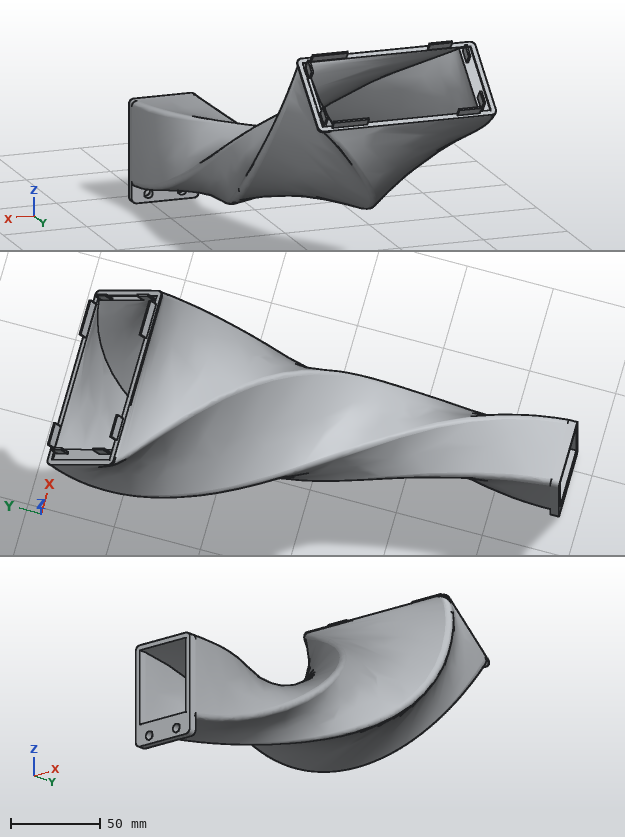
import cadquery as cq
import math


wall = 3.0
corner_radius = 3.0
bore_inset = 4.5

inlet_width = 40.0
inlet_height = 50.0
flange_height = 60.0
flange_thickness = 5.0
hole_diameter = 5.0
hole_spacing = 20.0
hole_edge_distance = 5.0

mouth_width = 106.0
mouth_depth = 50.0
mouth_pitch = 50.0
mouth_center = cq.Vector(-47.2, 256.5, 95.5)
rim_height = 1.0

opening_left_margin = 9.7
opening_right_margin = 5.5

clip_reach = 5.0
clip_thickness = 1.0
clip_outer_gap = 1.7
long_clip_width = 20.8
short_clip_width = 13.3
side_clip_width = 8.0
side_clip_inset = 5.0
left_clip_ledge = 1.7
long_clip_x = 34.5
rear_short_clip_x = -36.5
front_short_clip_x = -31.5

top_right = [(9.2, 102.0, 32.2), (-61.7, 127.0, 40.3), (-91.6, 187.7, 32.0), (-110.5, 227.0, 51.0)]
top_left = [(-26.7, 89.5, 21.0), (-61.7, 120.8, 3.3), (-62.5, 192.5, -29.5), (-50.0, 273.5, 29.7)]
bottom_left = [(-23.3, 83.3, -20.3), (28.3, 158.9, -7.2), (35.3, 220.8, 21.7), (17.8, 242.2, 99.5)]
bottom_right = [(20.8, 107.0, -11.7), (29.2, 142.0, 52.2), (-0.8, 184.5, 70.3), (-99.1, 228.5, 109.7)]

CORNER_SIGNS = [(1, 1), (-1, 1), (-1, -1), (1, -1)]

pitch = math.radians(mouth_pitch)
mouth_normal = cq.Vector(0, math.cos(pitch), math.sin(pitch))
rim_base_plane = cq.Plane(
    origin=mouth_center - mouth_normal * rim_height, xDir=(1, 0, 0), normal=mouth_normal
)


def inlet_corners(width, height):
    return [
        cq.Vector(sx * width / 2, flange_thickness, sz * height / 2) for sx, sz in CORNER_SIGNS
    ]


def mouth_corners(width, depth, x_shift=0.0):
    return [
        rim_base_plane.toWorldCoords((x_shift - sx * width / 2, sy * depth / 2))
        for sx, sy in CORNER_SIGNS
    ]


def inset(ring):
    """Move the four corners inwards by the bore inset along both sides that meet there."""
    moved = []
    for i, corner in enumerate(ring):
        to_next = (ring[(i + 1) % 4] - corner).normalized()
        to_last = (ring[i - 1] - corner).normalized()
        moved.append(corner + (to_next + to_last) * bore_inset)
    return moved


def twisted_solid(rings):
    """Solid with four ruled sides between Bezier corner edges, closed by flat ends."""
    edges = [cq.Edge.makeBezier(list(points)) for points in zip(*rings)]
    sides = [cq.Face.makeRuledSurface(edges[i], edges[(i + 1) % 4]) for i in range(4)]
    ends = [
        cq.Face.makeFromWires(cq.Wire.makePolygon(ring, close=True))
        for ring in (rings[0], rings[-1])
    ]
    return cq.Solid.makeSolid(cq.Shell.makeShell(sides + ends))


middle_rings = [
    [cq.Vector(*point) for point in ring]
    for ring in zip(top_right, top_left, bottom_left, bottom_right)
]
outer_rings = (
    [inlet_corners(inlet_width, inlet_height)]
    + middle_rings
    + [mouth_corners(mouth_width, mouth_depth)]
)
opening_width = mouth_width - opening_left_margin - opening_right_margin
opening_shift = (opening_left_margin - opening_right_margin) / 2
inner_rings = (
    [inlet_corners(inlet_width - 2 * wall, inlet_height - 2 * wall)]
    + [inset(ring) for ring in middle_rings]
    + [mouth_corners(opening_width, mouth_depth - 2 * wall, opening_shift)]
)
bore = cq.Workplane(twisted_solid(inner_rings))


def outer_duct():
    """Outer body with its four long corner edges, by far its longest edges, rounded."""
    sharp = twisted_solid(outer_rings)
    corner_edges = [edge for edge in sharp.Edges() if edge.Length() > 2 * mouth_width]
    return cq.Workplane(sharp.fillet(corner_radius, corner_edges))


def flange():
    """Plate flush with the top of the duct, with two bolt holes below the opening."""
    middle = (inlet_height - flange_height) / 2
    hole_height = inlet_height / 2 - flange_height + hole_edge_distance
    plate = (
        cq.Workplane("XZ")
        .center(0, middle)
        .rect(inlet_width, flange_height)
        .extrude(-flange_thickness)
        .edges("|Y")
        .fillet(corner_radius)
    )
    opening = (
        cq.Workplane("XZ")
        .rect(inlet_width - 2 * wall, inlet_height - 2 * wall)
        .extrude(-flange_thickness)
    )
    holes = (
        cq.Workplane("XZ")
        .center(0, hole_height)
        .rarray(hole_spacing, 2.8, 2, 1)
        .circle(hole_diameter / 2)
        .extrude(-flange_thickness)
    )
    return plate.cut(opening).cut(holes)


def rim():
    """Straight frame on the end of the duct."""
    block = cq.Workplane(rim_base_plane).rect(mouth_width, mouth_depth).extrude(rim_height)
    frame = block.edges(cq.selectors.ParallelDirSelector(mouth_normal)).fillet(corner_radius)
    recess = (
        cq.Workplane(rim_base_plane)
        .rect(mouth_width - 2 * wall, mouth_depth - 2 * wall)
        .extrude(rim_height)
    )
    return frame.cut(recess)


def clip(x, y, x_size, y_size):
    """Plate centred at x, y of the mouth, rising from the end of the duct."""
    return (
        cq.Workplane(rim_base_plane)
        .center(x, y)
        .rect(x_size, y_size)
        .extrude(rim_height + clip_reach)
    )


def clips():
    plates = []
    row = (mouth_depth - clip_thickness) / 2 - clip_outer_gap
    for y, short_clip_x in ((row, rear_short_clip_x), (-row, front_short_clip_x)):
        plates.append(clip(long_clip_x, y, long_clip_width, clip_thickness))
        plates.append(clip(short_clip_x, y, short_clip_width, clip_thickness))
    left = opening_left_margin - mouth_width / 2 - left_clip_ledge - clip_thickness / 2
    right = mouth_width / 2 - opening_right_margin + clip_thickness / 2
    side_row = (mouth_depth - side_clip_width) / 2 - side_clip_inset
    for x in (left, right):
        for y in (side_row, -side_row):
            plates.append(clip(x, y, clip_thickness, side_clip_width))
    return plates


result = outer_duct().cut(bore).union(flange()).union(rim())
for plate in clips():
    result = result.union(plate)
result = result.solids()